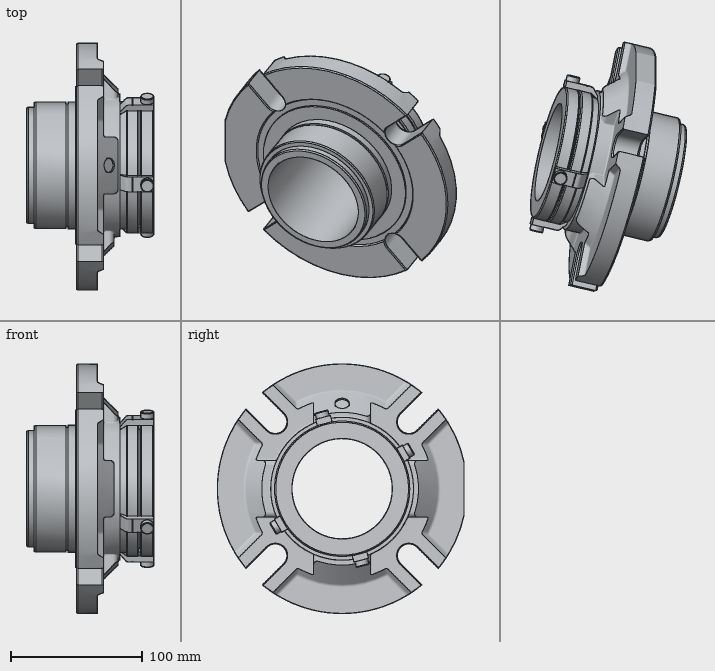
import cadquery as cq
import math


bore_radius = 76.3 / 2
tip_radius = 88.8 / 2
tip_length = 5.7
tip_chamfer_length = 1.3
tip_chamfer_depth = 0.8
pilot_radius = 96.6 / 2
pilot_end = 29.9
pilot_chamfer_length = 1.3
pilot_chamfer_depth = 0.5
groove_radius = 93.8 / 2
groove_end = 31.5
neck_radius = 96.8 / 2

flange_radius = 95.1
flange_face = 37.9
flange_back = 54.0
rim_chamfer_length = 1.1
rim_chamfer_depth = 0.8
flat_distance = 93.0
raised_radius = 120.0 / 2
raised_height = 0.5
gasket_recess_depth = 1.0
gasket_recess_radius = 65.5

blank_radius = 2 * flange_radius

slot_angles = (45, 135, 225, 315)
slot_width = 17.7
slot_inner_end = 63.2
slot_chamfer_length = 1.1
slot_chamfer_depth = 0.5
pad_top = 58.8
pad_half_width = 18.6
pad_base_half_width = 22.0
pad_root_fillet = 2.9

body_radius = 54.5
body_end = 71.2
cone_base_radius = 74.0
boss_half_width = 21.7
boss_corner_radius = 3.8
boss_root_fillet = 1.1
boss_end = 69.8
short_boss_end = 66.8
boss_ends = {0: boss_end, 90: boss_end, 180: short_boss_end, 270: boss_end}
port_angle = 90
port_diameter = 11.0
port_position = 63.0
port_depth = 1.5

collar_neck_radius = 97.2 / 2
land_radius = 103.1 / 2
land_chamfer = 1.0
first_land_start = 76.1
first_land_end = 85.6
second_land_start = 86.8
collar_groove_radius = 90.7 / 2
total_length = 97.0

clip_angles = (30, 105, 210, 285)
clip_width = 11.6
clip_outer = 56.3
clip_inner = 51.4
clip_bend = 76.3
clip_tip_outer = 50.2
clip_tip_inner = 48.0
clip_bend_radius = 3.5
score_position = 80.7
score_width = 0.5
score_depth = 0.4
head_diameter = 10.0
head_top = 60.9
head_chamfer = 0.5
head_center = total_length - head_diameter / 2


def revolve(points):
    """Solid of revolution about X from (x, radius) points."""
    return cq.Workplane("XY").polyline(points).close().revolve(360, (0, 0, 0), (1, 0, 0))


def turn(shape, angle):
    """Turn a feature built along +Y about the X axis; 90 degrees points it along +Z."""
    return shape.rotate((0, 0, 0), (1, 0, 0), angle)


def sleeve():
    return revolve([
        (0, 0),
        (0, tip_radius - tip_chamfer_depth),
        (tip_chamfer_length, tip_radius),
        (tip_length, tip_radius),
        (tip_length, pilot_radius - pilot_chamfer_depth),
        (tip_length + pilot_chamfer_length, pilot_radius),
        (pilot_end, pilot_radius),
        (pilot_end, groove_radius),
        (groove_end, groove_radius),
        (groove_end, neck_radius),
        (flange_back, neck_radius),
        (flange_back, 0),
    ])


def flange_envelope():
    """Everything inside the rim, the rim flat and the inboard face of the flange."""
    recess_floor = flange_face + gasket_recess_depth
    disc = revolve([
        (flange_face - raised_height, 0),
        (flange_face - raised_height, raised_radius),
        (recess_floor, raised_radius),
        (recess_floor, gasket_recess_radius),
        (flange_face, gasket_recess_radius + gasket_recess_depth),
        (flange_face, flange_radius - rim_chamfer_depth),
        (flange_face + rim_chamfer_length, flange_radius),
        (body_end, flange_radius),
        (body_end, 0),
    ])
    bevel_end = flange_face + rim_chamfer_length
    bevel_start = flat_distance - rim_chamfer_depth
    beyond_flat = (
        cq.Workplane("XY", origin=(0, 0, -flange_radius))
        .polyline([
            (0, bevel_start),
            (flange_face, bevel_start),
            (bevel_end, flat_distance),
            (total_length, flat_distance),
            (total_length, blank_radius),
            (0, blank_radius),
        ])
        .close()
        .extrude(2 * flange_radius)
    )
    return disc.cut(beyond_flat)


def slot_pad():
    """Thick pad along +Y with sloped flanks, running out past the flange rim."""
    return (
        cq.Workplane("XZ", origin=(0, slot_inner_end, 0))
        .polyline([
            (0, -pad_base_half_width),
            (flange_back, -pad_base_half_width),
            (pad_top, -pad_half_width),
            (pad_top, pad_half_width),
            (flange_back, pad_base_half_width),
            (0, pad_base_half_width),
        ])
        .close()
        .extrude(-blank_radius)
    )


def bolt_slot():
    """Open slot along +Y, with a round inner end and both mouths chamfered."""
    slot_length = flange_radius
    middle = slot_inner_end + (slot_width + slot_length) / 2
    chamfer_angle = math.degrees(math.atan2(slot_chamfer_depth, slot_chamfer_length))
    mouth_width = slot_width + 2 * slot_chamfer_depth

    def outline(x, width):
        return cq.Workplane("YZ", origin=(x, middle, 0)).slot2D(slot_length + width, width)

    slot = outline(0, slot_width).extrude(total_length)
    front_mouth = outline(flange_face, mouth_width).extrude(slot_chamfer_length, taper=chamfer_angle)
    rear_mouth = outline(pad_top, mouth_width).extrude(-slot_chamfer_length, taper=chamfer_angle)
    return slot.union(front_mouth).union(rear_mouth)


def boss_block(end):
    """Block along +Y reaching to the given end, with rounded outer corners."""
    return (
        cq.Workplane("XY")
        .box(end, blank_radius, 2 * boss_half_width, centered=(False, False, True))
        .edges("|Y and >X")
        .fillet(boss_corner_radius)
    )


def gland():
    """Body and bosses with filleted roots, all trimmed by one 45 degree cone."""
    core = revolve([
        (0, 0),
        (0, blank_radius),
        (pad_top, blank_radius),
        (pad_top, body_radius),
        (body_end, body_radius),
        (body_end, 0),
    ])
    for angle, end in boss_ends.items():
        core = core.union(turn(boss_block(end), angle))
    slack = boss_root_fillet / 2
    around_body = cq.selectors.BoxSelector(
        (pad_top - slack, -cone_base_radius, -cone_base_radius),
        (boss_end + slack, cone_base_radius, cone_base_radius),
    )
    on_pad_face = cq.selectors.BoxSelector(
        (pad_top - slack, -blank_radius, -blank_radius),
        (pad_top + slack, blank_radius, blank_radius),
    )
    body_roots = core.edges(around_body)
    boss_roots = core.edges(on_pad_face).edges("%LINE")
    core = body_roots.add(boss_roots).fillet(boss_root_fillet)

    cone = revolve([
        (0, 0),
        (0, cone_base_radius),
        (flange_back, cone_base_radius),
        (body_end, cone_base_radius - (body_end - flange_back)),
        (body_end, 0),
    ])
    return core.intersect(cone)


def port():
    """Hole square to the cone surface, built along +Y."""
    surface_radius = cone_base_radius - (port_position - flange_back)
    outward = cq.Vector(1, 1, 0)
    plane = cq.Plane(origin=(port_position, surface_radius, 0), xDir=(0, 0, 1), normal=outward)
    return (
        cq.Workplane(plane)
        .workplane(offset=-port_depth)
        .circle(port_diameter / 2)
        .extrude(port_depth + port_diameter)
    )


def collar():
    land_edge = land_radius - land_chamfer
    return revolve([
        (flange_back, 0),
        (flange_back, collar_neck_radius),
        (first_land_start, collar_neck_radius),
        (first_land_start, land_edge),
        (first_land_start + land_chamfer, land_radius),
        (first_land_end - land_chamfer, land_radius),
        (first_land_end, land_edge),
        (first_land_end, collar_groove_radius),
        (second_land_start, collar_groove_radius),
        (second_land_start, land_edge),
        (second_land_start + land_chamfer, land_radius),
        (total_length - land_chamfer, land_radius),
        (total_length, land_edge),
        (total_length, 0),
    ])


def clip():
    """Flat clip along +Y with its tip bent into the collar neck, and its screw head."""
    strip = (
        cq.Workplane("XY", origin=(0, 0, -clip_width / 2))
        .polyline([
            (body_end, clip_tip_inner),
            (body_end, clip_tip_outer),
            (clip_bend, clip_outer),
            (total_length, clip_outer),
            (total_length, clip_inner),
            (clip_bend, clip_inner),
        ])
        .close()
        .extrude(clip_width)
        .edges(cq.NearestToPointSelector((clip_bend, clip_outer, 0)))
        .fillet(clip_bend_radius)
    )
    score = cq.Workplane("XY", origin=(score_position, clip_outer, 0)).box(
        score_width, 2 * score_depth, clip_width
    )
    head = (
        cq.Workplane("XZ", origin=(head_center, clip_inner, 0))
        .circle(head_diameter / 2)
        .extrude(clip_inner - head_top)
        .faces(">Y")
        .chamfer(head_chamfer)
    )
    return strip.cut(score).union(head)


flange_blank = cq.Workplane("YZ").circle(blank_radius).extrude(flange_back)
gland_plate = gland().union(flange_blank)
for angle in slot_angles:
    gland_plate = gland_plate.union(turn(slot_pad(), angle))

root_reach = 0.75 * blank_radius
pad_roots = cq.selectors.BoxSelector(
    (flange_back - pad_root_fillet, -root_reach, -root_reach),
    (pad_top - pad_root_fillet / 2, root_reach, root_reach),
)
gland_plate = gland_plate.edges(pad_roots).fillet(pad_root_fillet)
gland_plate = gland_plate.intersect(flange_envelope())
for angle in slot_angles:
    gland_plate = gland_plate.cut(turn(bolt_slot(), angle))
gland_plate = gland_plate.cut(turn(port(), port_angle))

cartridge = sleeve().union(gland_plate).union(collar())
for angle in clip_angles:
    cartridge = cartridge.union(turn(clip(), angle))

bore = cq.Workplane("YZ").circle(bore_radius).extrude(total_length)
result = cartridge.cut(bore)